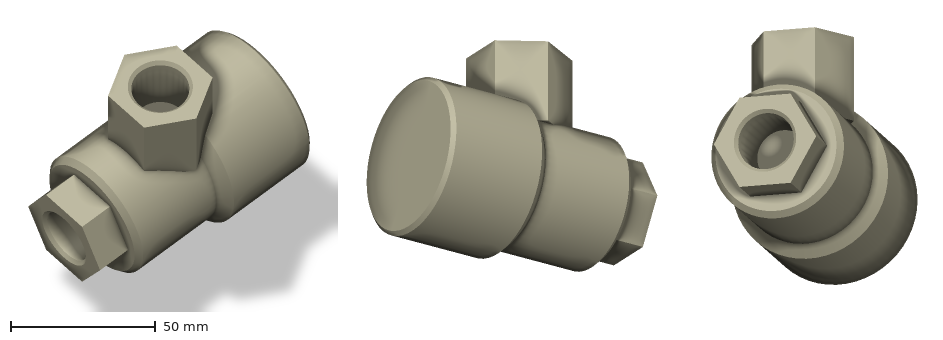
import cadquery as cq
import math

total_length = 90.5
large_diameter = 56.5
small_diameter = 48.0
rear_chamfer = 1.45
front_chamfer = 2.1
large_length = 36.7

hex_across_flats = 32.0
hex_across_corners = hex_across_flats / math.cos(math.pi / 6)
front_hex_length = 13.0
side_hex_length = 30.05
side_port_top = 47.5
side_port_y = 45.0

bore_top_diameter = 20.1
bore_floor_diameter = 18.7
bore_mouth_diameter = 22.5
bore_depth = 21.7


def make_body():
    """Stepped body with a 45 degree shoulder and chamfered ends."""
    large_radius = large_diameter / 2
    small_radius = small_diameter / 2
    shoulder_rear = total_length - large_length
    shoulder_front = shoulder_rear - (large_radius - small_radius)
    profile = [
        (0, front_hex_length),
        (small_radius - front_chamfer, front_hex_length),
        (small_radius, front_hex_length + front_chamfer),
        (small_radius, shoulder_front),
        (large_radius, shoulder_rear),
        (large_radius, total_length - rear_chamfer),
        (large_radius - rear_chamfer, total_length),
        (0, total_length),
    ]
    return cq.Workplane("XY").polyline(profile).close().revolve(360, (0, 0, 0), (0, 1, 0))


def make_hex(mouth, length):
    """Hexagon with corners along X, running inward from the mouth plane."""
    return cq.Workplane(mouth).polygon(6, hex_across_corners).extrude(-length)


def make_bore(mouth):
    """Blind tapered bore with a 45 degree countersunk mouth."""
    mouth_radius = bore_mouth_diameter / 2
    top_radius = bore_top_diameter / 2
    countersink_depth = mouth_radius - top_radius
    countersink = cq.Solid.makeCone(
        mouth_radius,
        top_radius,
        countersink_depth,
        pnt=mouth.origin,
        dir=-mouth.zDir,
    )
    taper = cq.Solid.makeCone(
        top_radius,
        bore_floor_diameter / 2,
        bore_depth - countersink_depth,
        pnt=mouth.origin - mouth.zDir * countersink_depth,
        dir=-mouth.zDir,
    )
    return cq.Workplane(obj=taper).union(cq.Workplane(obj=countersink))


front_mouth = cq.Plane(origin=(0, 0, 0), xDir=(1, 0, 0), normal=(0, -1, 0))
side_mouth = cq.Plane(origin=(0, side_port_y, side_port_top), xDir=(1, 0, 0), normal=(0, 0, 1))

result = (
    make_body()
    .union(make_hex(front_mouth, front_hex_length))
    .union(make_hex(side_mouth, side_hex_length))
    .cut(make_bore(front_mouth))
    .cut(make_bore(side_mouth))
)